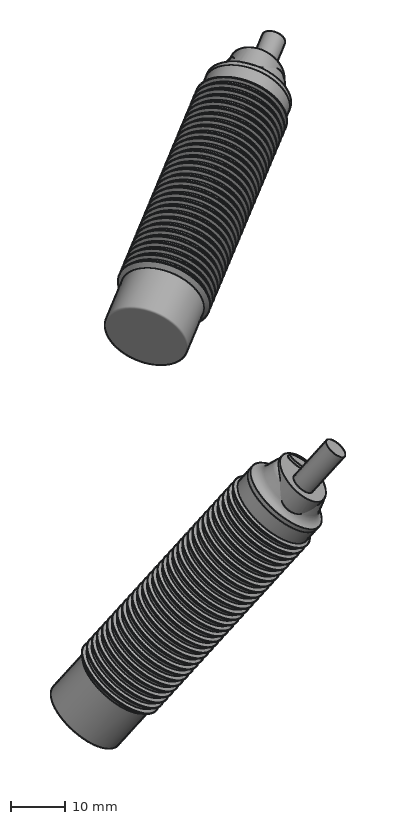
import cadquery as cq


CAP_LENGTH = 9.9
BARREL_END = 60.0
FLANGE_END = 60.95
FLARE_END = 62.55
PLUG_END = 66.0
TOTAL_LENGTH = 75.9

CAP_RADIUS = 8.1
CAP_FILLET = 0.4

BARREL_RADIUS = 8.35
THREAD_RADIUS = 18.0 / 2
RIDGE_COUNT = 31
FIRST_RIDGE = 10.85
LAST_RIDGE = 56.5
RIDGE_PITCH = (LAST_RIDGE - FIRST_RIDGE) / (RIDGE_COUNT - 1)
CREST_WIDTH = 0.2
FLANK_WIDTH = 0.4

NECK_BASE_RADIUS = 6.5
NECK_TIP_RADIUS = 5.55
NECK_FILLET = 1.9
BOSS_HALF_WIDTH = 5.4
BOSS_HALF_HEIGHT = 6.75

WINDOW_LENGTH = 7.1
WINDOW_WIDTH = 2.8
WINDOW_THICKNESS = 0.45
WINDOW_HEIGHT = 3.95
WINDOW_TAPER = 20

CABLE_RADIUS = 2.3
CABLE_HEIGHT = -2.35


def revolve_about_y(outline):
    """Turn a closed (radius, Y) outline once around the Y axis."""
    return outline.close().revolve(360, (0, 0, 0), (0, 1, 0))


def make_cap():
    cap = cq.Workplane("XZ").circle(CAP_RADIUS).extrude(-CAP_LENGTH)
    return cap.edges("<Y").fillet(CAP_FILLET)


def make_barrel():
    half_crest = CREST_WIDTH / 2
    half_base = half_crest + FLANK_WIDTH

    outline = [
        (0, CAP_LENGTH),
        (CAP_RADIUS, CAP_LENGTH),
        (THREAD_RADIUS, FIRST_RIDGE - half_crest),
        (THREAD_RADIUS, FIRST_RIDGE + half_crest),
        (BARREL_RADIUS, FIRST_RIDGE + half_base),
    ]
    for index in range(1, RIDGE_COUNT):
        center = FIRST_RIDGE + index * RIDGE_PITCH
        outline += [
            (BARREL_RADIUS, center - half_base),
            (THREAD_RADIUS, center - half_crest),
            (THREAD_RADIUS, center + half_crest),
            (BARREL_RADIUS, center + half_base),
        ]
    outline += [(BARREL_RADIUS, BARREL_END), (0, BARREL_END)]
    return revolve_about_y(cq.Workplane("XY").polyline(outline))


def make_plug():
    neck = revolve_about_y(
        cq.Workplane("XY")
        .moveTo(0, PLUG_END)
        .lineTo(NECK_TIP_RADIUS, PLUG_END)
        .lineTo(NECK_BASE_RADIUS, FLARE_END)
        .tangentArcPoint((BARREL_RADIUS, FLANGE_END), relative=False)
        .lineTo(BARREL_RADIUS, BARREL_END)
        .lineTo(0, BARREL_END)
    )
    neck = neck.edges(">Y").fillet(NECK_FILLET)

    boss = (
        cq.Workplane("XZ", origin=(0, PLUG_END, 0))
        .ellipse(BOSS_HALF_WIDTH, BOSS_HALF_HEIGHT)
        .extrude(PLUG_END - BARREL_END)
    )
    return neck.union(boss)


def make_window():
    return (
        cq.Workplane("XZ", origin=(0, PLUG_END, WINDOW_HEIGHT))
        .ellipse(WINDOW_LENGTH / 2, WINDOW_WIDTH / 2)
        .extrude(-WINDOW_THICKNESS, taper=WINDOW_TAPER)
    )


def make_cable():
    return (
        cq.Workplane("XZ", origin=(0, PLUG_END, CABLE_HEIGHT))
        .circle(CABLE_RADIUS)
        .extrude(PLUG_END - TOTAL_LENGTH)
    )


cap = make_cap()
barrel = make_barrel()
plug = make_plug()
window = make_window()
cable = make_cable()

result = cq.Compound.makeCompound(
    [cap.val(), barrel.val(), plug.val(), window.val(), cable.val()]
)